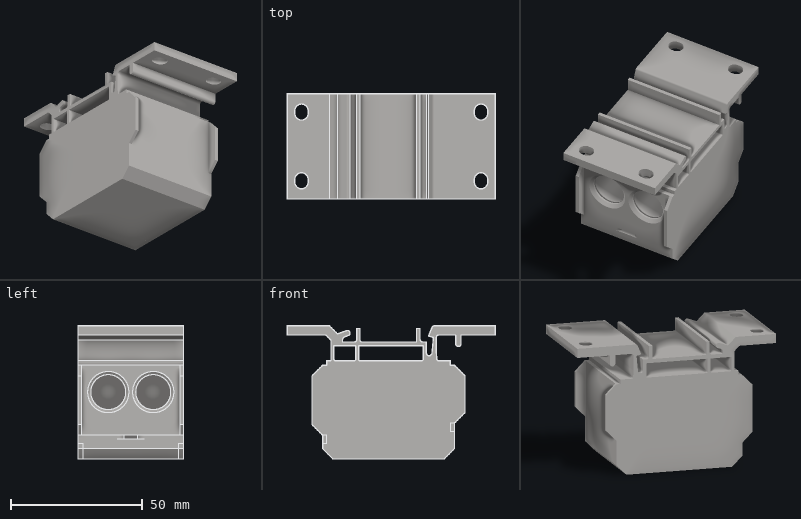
import cadquery as cq
import math

LENGTH = 78.95
WIDTH = 40.0
HEIGHT = 50.6

FLANGE_THICKNESS = 3.55
FLANGE_BOTTOM = HEIGHT - FLANGE_THICKNESS
LEFT_FLANGE_END = -23.45
LEFT_GUSSET_START = -24.9
MOUNT_SLOT_WIDTH = 5.0
MOUNT_SLOT_LENGTH = 6.0
MOUNT_SLOT_X = 34.0
MOUNT_SLOT_Y = 13.0
FIN_LEFT = 24.4
FIN_WIDTH = 2.1
FIN_BOTTOM = 42.7

DECK_TOP = 44.45
DECK_THICKNESS = 1.5
DECK_END = 13.35
RIB_TOP = 49.6
LEFT_RIB = (-13.1, -11.8)
RIGHT_RIB = (9.55, 11.0)
RIB_OUTER_FILLET = 0.95
LEFT_RIB_INNER_FILLET = 0.5
LEFT_LEG = (-22.9, -21.7)
WEB = (-13.5, -12.3)
CHANNEL_END = 12.1
CHANNEL_FILLET = 0.5

HOOK_VALLEY_X = -20.4
HOOK_VALLEY_Z = HEIGHT - (HOOK_VALLEY_X - LEFT_FLANGE_END)
HOOK_SLOPE = math.radians(20)
HOOK_TIP_RADIUS = 1.0
HOOK_ARM_LENGTH = 3.6
HOOK_ROOT_X = -18.4
HOOK_ROOT_FILLET = 1.2

SPRING_GAP_RADIUS = 1.0
SPRING_GAP_BOTTOM = 39.25
SPRING_LEFT_TOP = (15.95, 46.1)
LATCH_NOSE = (14.05, 46.7)
LATCH_TOP_X = 15.7
LATCH_FILLET = 0.95
SPRING_RIGHT_X = 17.1
SPRING_RIGHT_FILLET = 0.95
SPRING_TAPER_TOP = 40.4
SPRING_FOOT_X = 17.4
SPRING_FOOT_FILLET = 0.5

BLOCK_LEFT = -26.05
BLOCK_RIGHT = 24.0
STEP_TOP = 37.35
STEP_BOTTOM = 35.6
STEP_INSET = 1.6
CORNER = 4.0
WING_TOP = STEP_BOTTOM - CORNER
LEFT_SEAM = 9.1
RIGHT_SEAM = 13.65
WING_THICKNESS = 1.35
WING_GAP = WIDTH - 2 * WING_THICKNESS

COVER_WIDTH = 36.25
COVER_STEP_X = (BLOCK_LEFT + BLOCK_RIGHT) / 2
TAB_LENGTH = 1.6
TAB_HEIGHT = 3.1
NOTCH_HEIGHT = 1.5
NOTCH_NECK_WIDTH = 5.2
NOTCH_MOUTH_RADIUS = 2.45
NOTCH_DEPTH = 4.7

BORE_Y = 8.5
BORE_Z = 25.4
BORE_RADIUS = 6.6
BORE_MOUTH_RADIUS = 7.8
BORE_MOUTH_DEPTH = BORE_MOUTH_RADIUS - BORE_RADIUS
BORE_LIP_END = 1.9
SLEEVE_GAP = 0.6
SLEEVE_START = BORE_LIP_END + SLEEVE_GAP
SLEEVE_DEPTH = 15.8
SLEEVE_WALL = 1.2
SLEEVE_FLOOR_TOP = SLEEVE_START + SLEEVE_DEPTH
SLEEVE_END = SLEEVE_FLOOR_TOP + SLEEVE_WALL
SLEEVE_OUTER_RADIUS = BORE_RADIUS + SLEEVE_WALL


def extrude_outline(outline, width):
    """Extrude a closed XZ outline evenly to both sides of the Y = 0 plane."""
    return outline.close().extrude(width / 2, both=True)


def polygon(points, width=WIDTH):
    return extrude_outline(cq.Workplane("XZ").polyline(points), width)


def box(x_range, z_range, width=WIDTH):
    """A block between two X and two Z positions, centred on Y = 0."""
    (x0, x1), (z0, z1) = x_range, z_range
    return polygon([(x0, z0), (x1, z0), (x1, z1), (x0, z1)], width)


def fillet_at(body, x, z, radius):
    """Round the edge that runs along Y through the point (x, z)."""
    reach = 0.04
    picker = cq.selectors.BoxSelector(
        (x - reach, -WIDTH, z - reach), (x + reach, WIDTH, z + reach)
    )
    return body.edges("|Y").edges(picker).fillet(radius)


def left_flange():
    gusset_run = LEFT_LEG[0] - LEFT_GUSSET_START
    return polygon([
        (-LENGTH / 2, HEIGHT),
        (LEFT_FLANGE_END, HEIGHT),
        (HOOK_VALLEY_X, HOOK_VALLEY_Z),
        (HOOK_ROOT_X, HOOK_VALLEY_Z),
        (HOOK_ROOT_X, DECK_TOP),
        (LEFT_LEG[0], DECK_TOP),
        (LEFT_LEG[0], FLANGE_BOTTOM - gusset_run),
        (LEFT_GUSSET_START, FLANGE_BOTTOM),
        (-LENGTH / 2, FLANGE_BOTTOM),
    ])


def hook():
    """Sloping arm with a round tip, rising from the valley beside the left flange."""
    along = (math.cos(HOOK_SLOPE), math.sin(HOOK_SLOPE))
    down = (math.sin(HOOK_SLOPE), -math.cos(HOOK_SLOPE))
    valley = (HOOK_VALLEY_X, HOOK_VALLEY_Z)

    def arm_point(distance, depth):
        return tuple(v + distance * a + depth * d for v, a, d in zip(valley, along, down))

    outline = (
        cq.Workplane("XZ")
        .moveTo(*valley)
        .lineTo(*arm_point(HOOK_ARM_LENGTH, 0))
        .threePointArc(
            arm_point(HOOK_ARM_LENGTH + HOOK_TIP_RADIUS, HOOK_TIP_RADIUS),
            arm_point(HOOK_ARM_LENGTH, 2 * HOOK_TIP_RADIUS),
        )
        .lineTo(*arm_point(0, 2 * HOOK_TIP_RADIUS))
    )
    return extrude_outline(outline, WIDTH)


def hook_root_point():
    """Where the underside of the hook meets the upright face below it."""
    underside = HOOK_VALLEY_Z + (HOOK_ROOT_X - HOOK_VALLEY_X) * math.tan(HOOK_SLOPE)
    return HOOK_ROOT_X, underside - 2 * HOOK_TIP_RADIUS / math.cos(HOOK_SLOPE)


def deck_and_legs():
    """Deck on a solid foot, with the two open channels cut through below it."""
    deck_bottom = DECK_TOP - DECK_THICKNESS
    body = box((LEFT_LEG[0], DECK_END), (STEP_TOP, DECK_TOP))
    for x_range in ((LEFT_LEG[1], WEB[0]), (WEB[1], CHANNEL_END)):
        channel = box(x_range, (STEP_TOP, deck_bottom))
        for x in x_range:
            channel = fillet_at(channel, x, STEP_TOP, CHANNEL_FILLET)
        body = body.cut(channel)
    for x_range in (LEFT_RIB, RIGHT_RIB):
        body = body.union(box(x_range, (DECK_TOP, RIB_TOP)))
    for x in (LEFT_RIB[0], RIGHT_RIB[1]):
        body = fillet_at(body, x, DECK_TOP, RIB_OUTER_FILLET)
    return fillet_at(body, LEFT_RIB[1], DECK_TOP, LEFT_RIB_INNER_FILLET)


def right_flange():
    """Flange on a thin spring leg, with the latch nose and the round-bottomed gap beside it."""
    gap_centre = SPRING_GAP_BOTTOM + SPRING_GAP_RADIUS
    outline = (
        cq.Workplane("XZ")
        .moveTo(DECK_END, STEP_TOP)
        .lineTo(DECK_END, gap_centre)
        .threePointArc(
            (DECK_END + SPRING_GAP_RADIUS, SPRING_GAP_BOTTOM),
            (DECK_END + 2 * SPRING_GAP_RADIUS, gap_centre),
        )
        .lineTo(*SPRING_LEFT_TOP)
        .lineTo(*LATCH_NOSE)
        .lineTo(LATCH_TOP_X, HEIGHT)
        .lineTo(LENGTH / 2, HEIGHT)
        .lineTo(LENGTH / 2, FLANGE_BOTTOM)
        .lineTo(SPRING_RIGHT_X, FLANGE_BOTTOM)
        .lineTo(SPRING_RIGHT_X, SPRING_TAPER_TOP)
        .lineTo(SPRING_FOOT_X, STEP_TOP)
    )
    body = extrude_outline(outline, WIDTH)
    body = fillet_at(body, LATCH_TOP_X, HEIGHT, LATCH_FILLET)
    return fillet_at(body, SPRING_RIGHT_X, FLANGE_BOTTOM, SPRING_RIGHT_FILLET)


def flange_fin():
    """Round-ended fin hanging below the right flange."""
    radius = FIN_WIDTH / 2
    outline = (
        cq.Workplane("XZ")
        .moveTo(FIN_LEFT, FLANGE_BOTTOM)
        .lineTo(FIN_LEFT, FIN_BOTTOM + radius)
        .threePointArc(
            (FIN_LEFT + radius, FIN_BOTTOM),
            (FIN_LEFT + FIN_WIDTH, FIN_BOTTOM + radius),
        )
        .lineTo(FIN_LEFT + FIN_WIDTH, FLANGE_BOTTOM)
    )
    return extrude_outline(outline, WIDTH)


def block():
    """Lower block with sloped corners and a stepped top."""
    left_wing = BLOCK_LEFT - CORNER
    right_wing = BLOCK_RIGHT + CORNER
    return polygon([
        (BLOCK_LEFT + STEP_INSET, STEP_TOP),
        (BLOCK_RIGHT - STEP_INSET, STEP_TOP),
        (BLOCK_RIGHT - STEP_INSET, STEP_BOTTOM),
        (BLOCK_RIGHT, STEP_BOTTOM),
        (right_wing, WING_TOP),
        (right_wing, RIGHT_SEAM + CORNER),
        (BLOCK_RIGHT, RIGHT_SEAM),
        (BLOCK_RIGHT, CORNER),
        (BLOCK_RIGHT - CORNER, 0),
        (BLOCK_LEFT + CORNER, 0),
        (BLOCK_LEFT, CORNER),
        (BLOCK_LEFT, LEFT_SEAM),
        (left_wing, LEFT_SEAM + CORNER),
        (left_wing, WING_TOP),
        (BLOCK_LEFT, STEP_BOTTOM),
        (BLOCK_LEFT + STEP_INSET, STEP_BOTTOM),
    ])


def wing_recesses():
    """Spaces between the wings, outside the two end faces of the block."""
    left = box((BLOCK_LEFT - CORNER, BLOCK_LEFT), (LEFT_SEAM, STEP_BOTTOM), WING_GAP)
    right = box((BLOCK_RIGHT, BLOCK_RIGHT + CORNER), (RIGHT_SEAM, STEP_BOTTOM), WING_GAP)
    return left.union(right)


def mounting_slots():
    centres = [(x, y) for x in (-MOUNT_SLOT_X, MOUNT_SLOT_X) for y in (-MOUNT_SLOT_Y, MOUNT_SLOT_Y)]
    return (
        cq.Workplane("XY", origin=(0, 0, FLANGE_BOTTOM))
        .pushPoints(centres)
        .slot2D(MOUNT_SLOT_LENGTH, MOUNT_SLOT_WIDTH, 90)
        .extrude(FLANGE_THICKNESS)
    )


def turned_about_bore(points, y):
    """Revolve (depth from the block's left face, radius) points about a bore axis."""
    return (
        cq.Workplane("XY", origin=(BLOCK_LEFT, y, BORE_Z))
        .polyline(points)
        .close()
        .revolve(360, (0, 0, 0), (1, 0, 0))
    )


def cable_bore(y):
    """Chamfered bore with a lip, widening behind the lip to seat a sleeve."""
    return turned_about_bore([
        (0, 0),
        (0, BORE_MOUTH_RADIUS),
        (BORE_MOUTH_DEPTH, BORE_RADIUS),
        (BORE_LIP_END, BORE_RADIUS),
        (BORE_LIP_END, SLEEVE_OUTER_RADIUS),
        (SLEEVE_END, SLEEVE_OUTER_RADIUS),
        (SLEEVE_END, 0),
    ], y)


def make_cover_blank():
    """Base cover without its notch: a stepped block with four corner tabs."""
    body = polygon([
        (BLOCK_LEFT, LEFT_SEAM),
        (COVER_STEP_X, LEFT_SEAM),
        (COVER_STEP_X, RIGHT_SEAM),
        (BLOCK_RIGHT, RIGHT_SEAM),
        (BLOCK_RIGHT, CORNER),
        (BLOCK_RIGHT - CORNER, 0),
        (BLOCK_LEFT + CORNER, 0),
        (BLOCK_LEFT, CORNER),
    ], COVER_WIDTH)
    left_tabs = box((BLOCK_LEFT, BLOCK_LEFT + TAB_LENGTH), (LEFT_SEAM - TAB_HEIGHT, LEFT_SEAM))
    right_tabs = box((BLOCK_RIGHT - TAB_LENGTH, BLOCK_RIGHT), (RIGHT_SEAM - TAB_HEIGHT, RIGHT_SEAM))
    return body.union(left_tabs).union(right_tabs)


def cover_notch():
    """Notch in the cover's top left edge, with a mouth that flares in two round flanks."""
    neck = NOTCH_NECK_WIDTH / 2
    mouth = neck + NOTCH_MOUTH_RADIUS
    flank_middle = mouth - NOTCH_MOUTH_RADIUS * math.sin(math.pi / 4)
    flank_depth = NOTCH_MOUTH_RADIUS * (1 - math.cos(math.pi / 4))
    return (
        cq.Workplane("XY", origin=(BLOCK_LEFT, 0, LEFT_SEAM - NOTCH_HEIGHT))
        .moveTo(0, mouth)
        .threePointArc((flank_depth, flank_middle), (NOTCH_MOUTH_RADIUS, neck))
        .lineTo(NOTCH_DEPTH, neck)
        .lineTo(NOTCH_DEPTH, -neck)
        .lineTo(NOTCH_MOUTH_RADIUS, -neck)
        .threePointArc((flank_depth, -flank_middle), (0, -mouth))
        .close()
        .extrude(NOTCH_HEIGHT)
    )


def make_housing():
    body = block()
    for part in (deck_and_legs(), left_flange(), hook(), right_flange(), flange_fin()):
        body = body.union(part)
    body = body.clean()
    body = fillet_at(body, *hook_root_point(), HOOK_ROOT_FILLET)
    body = fillet_at(body, SPRING_FOOT_X, STEP_TOP, SPRING_FOOT_FILLET)
    body = body.cut(wing_recesses()).cut(mounting_slots()).cut(make_cover_blank())
    for y in (-BORE_Y, BORE_Y):
        body = body.cut(cable_bore(y))
    return body


def make_sleeve(y):
    """Cup set a little behind the bore lip, open toward it and as wide inside as the lip."""
    return turned_about_bore([
        (SLEEVE_START, BORE_RADIUS),
        (SLEEVE_START, SLEEVE_OUTER_RADIUS),
        (SLEEVE_END, SLEEVE_OUTER_RADIUS),
        (SLEEVE_END, 0),
        (SLEEVE_FLOOR_TOP, 0),
        (SLEEVE_FLOOR_TOP, BORE_RADIUS),
    ], y)


housing = make_housing()
cover = make_cover_blank().cut(cover_notch())
sleeves = [make_sleeve(y) for y in (-BORE_Y, BORE_Y)]

result = cq.Compound.makeCompound([housing.val(), cover.val(), *[sleeve.val() for sleeve in sleeves]])